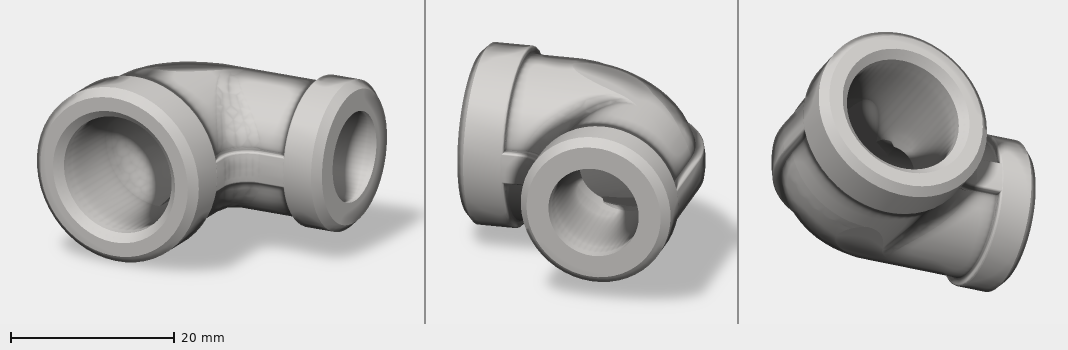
import cadquery as cq
import math

LARGE_COLLAR_RADIUS = 22.5 / 2
SMALL_COLLAR_RADIUS = 19.0 / 2
LARGE_BORE_RADIUS = 14.95 / 2
SMALL_BORE_RADIUS = 11.45 / 2
LARGE_MOUTH = 20.5
SMALL_MOUTH = 22.5
LARGE_COLLAR_LENGTH = 6.0
SMALL_COLLAR_LENGTH = 5.0
MOUTH_CHAMFER = 1.0

STEP = 1.0
LARGE_WALL_RADIUS = LARGE_COLLAR_RADIUS - STEP
SMALL_WALL_RADIUS = SMALL_COLLAR_RADIUS - STEP
WALL_END_OVERLAP = 1.0
RIB_END_OVERLAP = 0.5

BEND_X = 6.75
BEND_Y = -8.5
SECTION_COUNT = 7
BEND_CHORD_SHARE = 0.5

RIB_HALF_WIDTH = 2.0
RIB_SETBACK = 0.02
LARGE_RIB_RADIUS = LARGE_COLLAR_RADIUS - RIB_SETBACK
SMALL_RIB_RADIUS = SMALL_COLLAR_RADIUS - RIB_SETBACK
RIB_FOOT_DEPTH = 1.5
RIB_CROTCH_RADIUS = 3.0
WALL_CROTCH_RADIUS = RIB_CROTCH_RADIUS + STEP
EDGE_ROUND = 0.25
ROOT_SINK = 0.02
DIAGONAL = math.sqrt(0.5)


def cylinder_y(radius, y_start, y_end):
    return cq.Workplane("XZ", origin=(0, y_start, 0)).circle(radius).extrude(y_start - y_end)


def cylinder_x(radius, x_start, x_end):
    return cq.Workplane("YZ", origin=(x_start, 0, 0)).circle(radius).extrude(x_end - x_start)


def even_steps(start, end):
    return [start + (end - start) * index / (SECTION_COUNT - 1) for index in range(SECTION_COUNT)]


def loft(sections):
    return cq.Workplane(obj=cq.Solid.makeLoft(sections))


def bend_frames(large_radius, small_radius):
    """Centre, outward direction and radius of the sections around the outer bend."""
    turns = even_steps(0, math.pi / 2)
    offsets = even_steps(BEND_X, -BEND_Y)
    radii = even_steps(large_radius, small_radius)
    frames = []
    for turn, offset, radius in zip(turns, offsets, radii):
        outward = cq.Vector(-math.cos(turn), math.sin(turn), 0)
        frames.append((cq.Vector(BEND_X, BEND_Y, 0) + outward * offset, outward, radius))
    return frames


def bend_section(centre, outward, radius):
    """Circle cut off by a chord on the side of the pivot."""
    chord_middle = centre - outward * (BEND_CHORD_SHARE * radius)
    half_chord = cq.Vector(0, 0, radius * math.sqrt(1 - BEND_CHORD_SHARE**2))
    bottom = chord_middle - half_chord
    top = chord_middle + half_chord
    arc = cq.Edge.makeThreePointArc(bottom, centre + outward * radius, top)
    return cq.Wire.assembleEdges([arc, cq.Edge.makeLine(top, bottom)])


def ramp_touch(large_radius, small_radius):
    """Y and Z of the line where a ramp from the large leg's crest touches the small leg."""
    start_distance = math.hypot(BEND_Y, large_radius)
    angle = math.atan2(large_radius, BEND_Y) - math.acos(small_radius / start_distance)
    return small_radius * math.cos(angle), small_radius * math.sin(angle)


def crossing_legs(large_radius, small_radius, crotch_radius):
    """Straight legs on the inner side of the elbow, with a round in the crotch between them."""
    legs = cylinder_y(large_radius, -LARGE_MOUTH, LARGE_MOUTH).union(
        cylinder_x(small_radius, 0, SMALL_MOUTH)
    )
    if crotch_radius > 0:
        margin = 0.1
        size = 2 * LARGE_MOUTH
        near = (margin, -size, -size)
        far = (SMALL_MOUTH - margin, size, size)
        legs = legs.edges(cq.selectors.BoxSelector(near, far)).fillet(crotch_radius)
    touch_y, _ = ramp_touch(large_radius, small_radius)
    merge_x = 1.8
    kept = (
        cq.Workplane("XY", origin=(0, 0, -LARGE_MOUTH))
        .moveTo(0, -LARGE_MOUTH)
        .lineTo(SMALL_MOUTH, -LARGE_MOUTH)
        .lineTo(SMALL_MOUTH, small_radius + STEP)
        .lineTo(BEND_X, small_radius + STEP)
        .lineTo(BEND_X, small_radius - STEP)
        .lineTo(merge_x, touch_y)
        .lineTo(0, BEND_Y / 2)
        .close()
        .extrude(2 * LARGE_MOUTH)
    )
    return legs.intersect(kept)


def ramp_envelope(large_radius, small_radius):
    """Bar along X whose flat ramps join the large leg's crests to the small leg."""
    touch_y, touch_z = ramp_touch(large_radius, small_radius)
    slope = (large_radius - touch_z) / (touch_y - BEND_Y)
    end_y = -LARGE_MOUTH - STEP
    end_z = touch_z + slope * (touch_y - end_y)
    return (
        cq.Workplane("YZ", origin=(-LARGE_MOUTH, 0, 0))
        .moveTo(touch_y, -touch_z)
        .threePointArc((small_radius, 0), (touch_y, touch_z))
        .lineTo(end_y, end_z)
        .lineTo(end_y, -end_z)
        .close()
        .extrude(LARGE_MOUTH + SMALL_MOUTH + STEP)
    )


def elbow(large_radius, small_radius, crotch_radius):
    """Solid reducing elbow that reaches both mouths."""
    sections = [bend_section(*frame) for frame in bend_frames(large_radius, small_radius)]
    return (
        loft(sections)
        .union(crossing_legs(large_radius, small_radius, crotch_radius))
        .union(cylinder_y(large_radius, -LARGE_MOUTH, BEND_Y))
        .intersect(ramp_envelope(large_radius, small_radius))
    )


def wall():
    """Outer skin between the collars."""
    end_x = SMALL_MOUTH - SMALL_COLLAR_LENGTH + WALL_END_OVERLAP
    end_y = LARGE_COLLAR_LENGTH - LARGE_MOUTH - WALL_END_OVERLAP
    size = 3 * LARGE_MOUTH
    kept = cq.Workplane("XY").box(size, size, size).translate((end_x - size / 2, end_y + size / 2, 0))
    return elbow(LARGE_WALL_RADIUS, SMALL_WALL_RADIUS, WALL_CROTCH_RADIUS).intersect(kept)


def collar(radius, length):
    """Collar about Z with its mouth at z = 0, reaching up to its shoulder."""
    wall_radius = radius - STEP
    root_radius = wall_radius - ROOT_SINK
    edge_middle = EDGE_ROUND * (1 - DIAGONAL)
    return (
        cq.Workplane("XZ")
        .lineTo(radius - MOUTH_CHAMFER, 0)
        .lineTo(radius, MOUTH_CHAMFER)
        .lineTo(radius, length - EDGE_ROUND)
        .threePointArc((radius - edge_middle, length - edge_middle), (radius - EDGE_ROUND, length))
        .lineTo(root_radius + EDGE_ROUND, length)
        .threePointArc((root_radius + edge_middle, length + edge_middle), (root_radius, length + EDGE_ROUND))
        .lineTo(0, length + EDGE_ROUND)
        .close()
        .revolve(360, (0, 0, 0), (0, 1, 0))
    )


def rib_section(centre, outward, radius):
    """Rib cross-section: crowned top, rounded edges and flared roots."""
    def place(out, height):
        return centre + outward * out + cq.Vector(0, 0, height)

    edge_z = RIB_HALF_WIDTH - EDGE_ROUND
    edge_out = math.sqrt((radius - EDGE_ROUND) ** 2 - edge_z**2)
    crown = radius / (radius - EDGE_ROUND)
    edge_angle = math.atan2(edge_z, edge_out)
    half_angle = (edge_angle + math.pi / 2) / 2
    half_out = edge_out + EDGE_ROUND * math.cos(half_angle)
    half_z = edge_z + EDGE_ROUND * math.sin(half_angle)

    foot_z = RIB_HALF_WIDTH + EDGE_ROUND
    root_out = math.sqrt((radius - STEP) ** 2 - foot_z**2) - ROOT_SINK
    flare_out = root_out + EDGE_ROUND
    flare_middle = EDGE_ROUND * (1 - DIAGONAL)
    foot_out = radius - STEP - RIB_FOOT_DEPTH

    def side(sign):
        """Edge round, flank, root flare and foot of one side, from the crown inwards."""
        crown_end = place(edge_out * crown, sign * edge_z * crown)
        flank_top = place(edge_out, sign * RIB_HALF_WIDTH)
        flank_end = place(flare_out, sign * RIB_HALF_WIDTH)
        root = place(root_out, sign * foot_z)
        foot = place(foot_out, sign * foot_z)
        flare = place(root_out + flare_middle, sign * (RIB_HALF_WIDTH + flare_middle))
        edges = [
            cq.Edge.makeThreePointArc(crown_end, place(half_out, sign * half_z), flank_top),
            cq.Edge.makeLine(flank_top, flank_end),
            cq.Edge.makeThreePointArc(flank_end, flare, root),
            cq.Edge.makeLine(root, foot),
        ]
        return crown_end, foot, edges

    upper_crown, upper_foot, upper_edges = side(1)
    lower_crown, lower_foot, lower_edges = side(-1)
    top = cq.Edge.makeThreePointArc(lower_crown, place(radius, 0), upper_crown)
    base = cq.Edge.makeLine(upper_foot, lower_foot)
    return cq.Wire.assembleEdges([top] + upper_edges + [base] + lower_edges[::-1])


def crotch_frames():
    """Centre, outward direction and radius of the rib sections around the crotch."""
    pivot = cq.Vector(
        LARGE_RIB_RADIUS + RIB_CROTCH_RADIUS, -SMALL_RIB_RADIUS - RIB_CROTCH_RADIUS, 0
    )
    turns = even_steps(0, math.pi / 2)
    radii = even_steps(LARGE_RIB_RADIUS, SMALL_RIB_RADIUS)
    frames = []
    for turn, radius in zip(turns, radii):
        outward = cq.Vector(math.cos(turn), -math.sin(turn), 0)
        frames.append((pivot - outward * (radius + RIB_CROTCH_RADIUS), outward, radius))
    return frames


def rib_run(frames):
    """Rib around one turn, carried on straight along both legs into the collars."""
    sections = [rib_section(*frame) for frame in frames]
    large_end = LARGE_COLLAR_LENGTH - LARGE_MOUTH - RIB_END_OVERLAP
    small_end = SMALL_MOUTH - SMALL_COLLAR_LENGTH + RIB_END_OVERLAP
    to_large = cq.Vector(0, large_end - frames[0][0].y, 0)
    to_small = cq.Vector(small_end - frames[-1][0].x, 0, 0)
    large_leg = cq.Workplane(obj=cq.Solid.extrudeLinear(sections[0], [], to_large))
    small_leg = cq.Workplane(obj=cq.Solid.extrudeLinear(sections[-1], [], to_small))
    return loft(sections).union(large_leg).union(small_leg)


def large_mouth_cone():
    """Countersink that widens the large bore at its mouth."""
    rim = LARGE_BORE_RADIUS + MOUTH_CHAMFER
    cone = cq.Workplane("XY").add(cq.Solid.makeCone(rim, LARGE_BORE_RADIUS, MOUTH_CHAMFER))
    return at_large_mouth(cone)


def at_large_mouth(shape):
    return shape.rotate((0, 0, 0), (1, 0, 0), -90).translate((0, -LARGE_MOUTH, 0))


def at_small_mouth(shape):
    return shape.rotate((0, 0, 0), (0, 1, 0), -90).translate((SMALL_MOUTH, 0, 0))


result = (
    wall()
    .union(at_large_mouth(collar(LARGE_COLLAR_RADIUS, LARGE_COLLAR_LENGTH)))
    .union(at_small_mouth(collar(SMALL_COLLAR_RADIUS, SMALL_COLLAR_LENGTH)))
    .union(rib_run(crotch_frames()))
    .union(rib_run(bend_frames(LARGE_RIB_RADIUS, SMALL_RIB_RADIUS)))
    .cut(elbow(LARGE_BORE_RADIUS, SMALL_BORE_RADIUS, 0))
    .cut(large_mouth_cone())
)